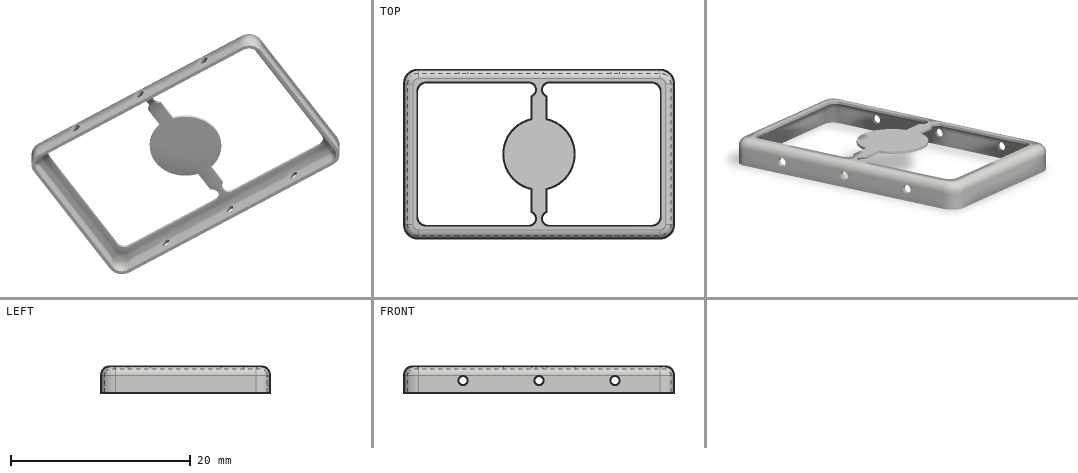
import cadquery as cq

LENGTH = 30.2
WIDTH = 18.9
HEIGHT = 3.0
WALL = 0.4
CORNER_RADIUS = 1.6
TOP_ROUND = 1.0
CAVITY_CORNER_RADIUS = CORNER_RADIUS - WALL
CAVITY_TOP_ROUND = TOP_ROUND - WALL

WINDOW_LENGTH = 27.18
WINDOW_WIDTH = 15.98
WINDOW_CORNER_RADIUS = 1.0

PLATE_THICKNESS = 0.3
DISC_DIAMETER = 8.0
STRAP_WIDTH = 1.7
NECK_WIDTH = 0.7
NECK_RADIUS = 0.8

HOLE_DIAMETER = 1.0
HOLE_SPACING = 8.5
HOLE_HEIGHT = 1.4


def rounded_block(length, width, height, corner_radius):
    """Block standing on the base plane, centred in X and Y, with rounded upright corners."""
    block = cq.Workplane("XY").box(length, width, height, centered=(True, True, False))
    return block.edges("|Z").fillet(corner_radius)


def make_frame():
    """Thin-walled ring with a rounded outer top edge and a thin rim reaching inward at the top."""
    block = rounded_block(LENGTH, WIDTH, HEIGHT, CORNER_RADIUS)
    block = block.faces(">Z").edges().fillet(TOP_ROUND)
    window = rounded_block(WINDOW_LENGTH, WINDOW_WIDTH, HEIGHT, WINDOW_CORNER_RADIUS)
    cavity_length = LENGTH - 2 * WALL
    cavity_width = WIDTH - 2 * WALL
    cavity = rounded_block(cavity_length, cavity_width, HEIGHT - PLATE_THICKNESS, CAVITY_CORNER_RADIUS)
    cavity = cavity.faces(">Z").edges().fillet(CAVITY_TOP_ROUND)
    return block.cut(window).cut(cavity)


def make_strap():
    """Strap from the disc to the +Y rim, necked by a round notch on each side that is tangent to the rim."""
    rim_y = WINDOW_WIDTH / 2
    notch_x = NECK_WIDTH / 2 + NECK_RADIUS
    notch_y = rim_y - NECK_RADIUS
    plane = cq.Workplane("XY", origin=(0, 0, HEIGHT - PLATE_THICKNESS))
    shaft = plane.center(0, rim_y / 2).rect(STRAP_WIDTH, rim_y).extrude(PLATE_THICKNESS)
    flare = plane.center(0, rim_y - NECK_RADIUS / 2).rect(2 * notch_x, NECK_RADIUS).extrude(PLATE_THICKNESS)
    notches = plane.pushPoints([(-notch_x, notch_y), (notch_x, notch_y)]).circle(NECK_RADIUS)
    return shaft.union(flare).cut(notches.extrude(PLATE_THICKNESS))


def make_holder():
    """Disc with one strap towards each long side."""
    disc = cq.Workplane("XY", origin=(0, 0, HEIGHT - PLATE_THICKNESS))
    disc = disc.circle(DISC_DIAMETER / 2).extrude(PLATE_THICKNESS)
    strap = make_strap()
    return disc.union(strap).union(strap.mirror("XZ"))


def make_wall_holes():
    """Row of pins along Y that pierce both long walls."""
    return (
        cq.Workplane("XZ")
        .pushPoints([(step * HOLE_SPACING, HOLE_HEIGHT) for step in (-1, 0, 1)])
        .circle(HOLE_DIAMETER / 2)
        .extrude(WIDTH / 2, both=True)
    )


result = make_frame().union(make_holder()).cut(make_wall_holes())